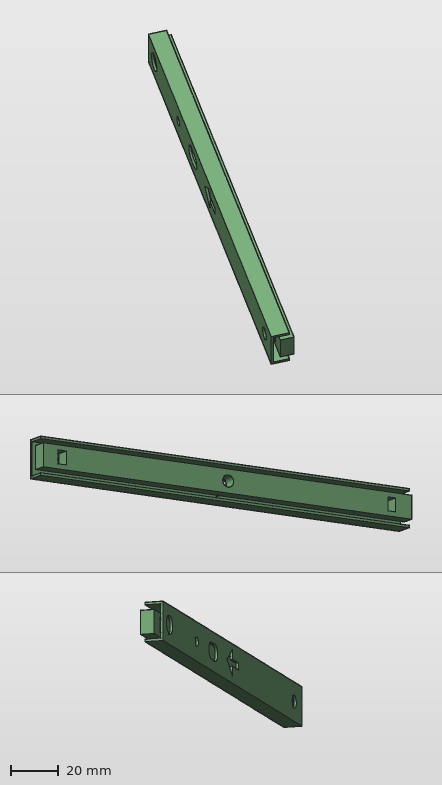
import cadquery as cq

LENGTH = 182.0
CHANNEL_HEIGHT = 17.0
CHANNEL_DEPTH = 8.0
WALL = 1.1

TOTAL_DEPTH = 10.0
BAR_DEPTH = 6.0
BAR_HEIGHT = 10.4
BAR_FRONT = TOTAL_DEPTH - BAR_DEPTH

LEFT_HOLE_X = 8.5
LEFT_HOLE_DIAMETER = 8.0
SMALL_HOLE_X = 44.2
SMALL_HOLE_DIAMETER = 4.0
SLOT_X = 65.7
SLOT_LENGTH = 11.6
SLOT_WIDTH = 7.3
RIGHT_HOLE_X = 171.8
RIGHT_HOLE_DIAMETER = 5.5

ARROW_TIP_X = 83.7
ARROW_HEAD_END_X = 91.0
ARROW_TAIL_X = 98.8
ARROW_Z = 0.4
ARROW_HEAD_WIDTH = 11.3
ARROW_SHAFT_WIDTH = 3.0

WINDOW_START_X = 8.0
WINDOW_LENGTH = 3.6
WINDOW_HEIGHT = 6.0
BAR_HOLE_X = 90.6
BAR_HOLE_DIAMETER = 5.3
END_WINDOW_START_X = 170.5
END_WINDOW_LENGTH = 4.2
END_WINDOW_HEIGHT = WINDOW_HEIGHT


def block(start_x, start_y, length, depth, height):
    """Box centred on Z = 0 with its lower X and Y corner at the given place."""
    return (
        cq.Workplane("XY")
        .box(length, depth, height, centered=(False, False, True))
        .translate((start_x, start_y, 0))
    )


def along_y(sketch):
    """Extrude a closed XZ outline from Y = 0 through the whole depth."""
    return sketch.extrude(-TOTAL_DEPTH)


def round_cutter(x, diameter):
    return along_y(cq.Workplane("XZ").center(x, 0).circle(diameter / 2))


def slot_cutter():
    return along_y(cq.Workplane("XZ").center(SLOT_X, 0).slot2D(SLOT_LENGTH, SLOT_WIDTH))


def arrow_cutter():
    head = ARROW_HEAD_WIDTH / 2
    shaft = ARROW_SHAFT_WIDTH / 2
    outline = (
        cq.Workplane("XZ", origin=(0, 0, ARROW_Z))
        .moveTo(ARROW_TIP_X, 0)
        .lineTo(ARROW_HEAD_END_X, head)
        .lineTo(ARROW_HEAD_END_X, shaft)
        .lineTo(ARROW_TAIL_X, shaft)
        .lineTo(ARROW_TAIL_X, -shaft)
        .lineTo(ARROW_HEAD_END_X, -shaft)
        .lineTo(ARROW_HEAD_END_X, -head)
        .close()
    )
    return along_y(outline)


def make_channel():
    outer = block(0, 0, LENGTH, CHANNEL_DEPTH, CHANNEL_HEIGHT)
    inside = block(0, WALL, LENGTH, CHANNEL_DEPTH, CHANNEL_HEIGHT - 2 * WALL)
    channel = outer.cut(inside)
    round_holes = (
        (LEFT_HOLE_X, LEFT_HOLE_DIAMETER),
        (SMALL_HOLE_X, SMALL_HOLE_DIAMETER),
        (RIGHT_HOLE_X, RIGHT_HOLE_DIAMETER),
    )
    for x, diameter in round_holes:
        channel = channel.cut(round_cutter(x, diameter))
    return channel.cut(slot_cutter()).cut(arrow_cutter())


def make_bar():
    bar = block(0, BAR_FRONT, LENGTH, BAR_DEPTH, BAR_HEIGHT)
    windows = (
        (WINDOW_START_X, WINDOW_LENGTH, WINDOW_HEIGHT),
        (END_WINDOW_START_X, END_WINDOW_LENGTH, END_WINDOW_HEIGHT),
    )
    for start_x, length, height in windows:
        bar = bar.cut(block(start_x, BAR_FRONT, length, BAR_DEPTH, height))
    return bar.cut(round_cutter(BAR_HOLE_X, BAR_HOLE_DIAMETER))


channel = make_channel()
bar = make_bar()
result = cq.Compound.makeCompound([channel.val(), bar.val()])